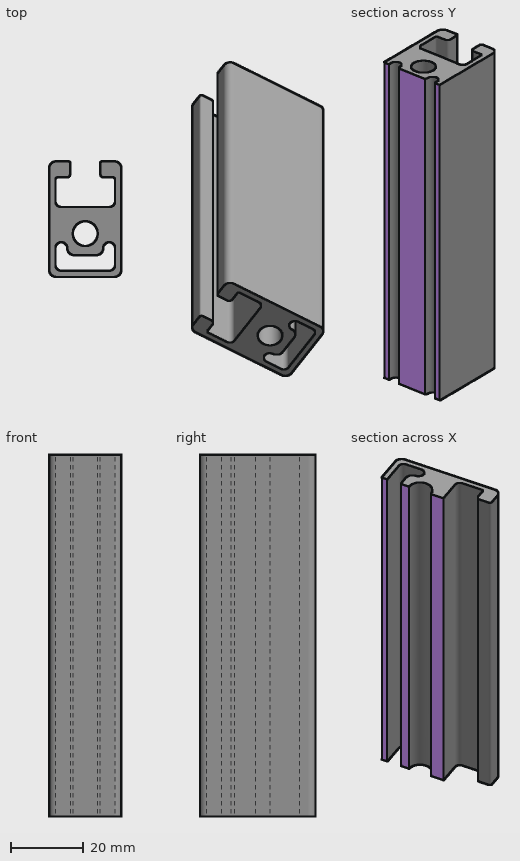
import cadquery as cq

width = 20.0
depth = 32.0
length = 100.0
corner_radius = 2.0
wall = 1.8
inner_width = width - 2 * wall
inner_radius = 1.5
front_y = -depth / 2
back_y = depth / 2

slot_opening = 8.2
lip_thickness = 4.5
slot_depth = 12.6
lip_outer_radius = 0.6
lip_inner_radius = 1.0
slot_inner_radius = 0.5

bore_diameter = 6.8
bore_y = front_y + 12.0

cavity_floor_y = front_y + wall
boss_half_width = 5.0
boss_face_y = front_y + 6.0
lobe_radius = (inner_width / 2 - boss_half_width) / 2
lobe_center_x = boss_half_width + lobe_radius
lobe_center_y = front_y + 8.0
boss_radius = lobe_center_y - boss_face_y


def make_body():
    body = cq.Workplane("XY").rect(width, depth).extrude(length)
    return body.edges("|Z").fillet(corner_radius)


def box_between(x_size, y_low, y_high):
    return (
        cq.Workplane("XY")
        .center(0, (y_low + y_high) / 2)
        .rect(x_size, y_high - y_low)
        .extrude(length)
    )


def cut_t_slot(body):
    lip_y = back_y - lip_thickness
    chamber = box_between(inner_width, back_y - slot_depth, lip_y)
    chamber = chamber.edges("|Z and <Y").fillet(inner_radius)
    chamber = chamber.edges("|Z and >Y").fillet(slot_inner_radius)
    body = body.cut(chamber).cut(box_between(slot_opening, lip_y, back_y))

    half_opening = slot_opening / 2
    for y, radius in ((lip_y, lip_inner_radius), (back_y, lip_outer_radius)):
        for x in (-half_opening, half_opening):
            lip_edge = cq.selectors.NearestToPointSelector((x, y, length / 2))
            body = body.edges(lip_edge).fillet(radius)
    return body


def make_cavity():
    half_width = inner_width / 2
    lobe_top_y = lobe_center_y + lobe_radius
    cavity = (
        cq.Workplane("XY")
        .moveTo(-half_width, cavity_floor_y)
        .lineTo(half_width, cavity_floor_y)
        .lineTo(half_width, lobe_center_y)
        .threePointArc((lobe_center_x, lobe_top_y), (boss_half_width, lobe_center_y))
        .radiusArc((boss_half_width - boss_radius, boss_face_y), boss_radius)
        .lineTo(-boss_half_width + boss_radius, boss_face_y)
        .radiusArc((-boss_half_width, lobe_center_y), boss_radius)
        .threePointArc((-lobe_center_x, lobe_top_y), (-half_width, lobe_center_y))
        .close()
        .extrude(length)
    )
    return cavity.edges("|Z and <Y").fillet(inner_radius)


def make_bore():
    return cq.Workplane("XY").center(0, bore_y).circle(bore_diameter / 2).extrude(length)


result = cut_t_slot(make_body()).cut(make_cavity()).cut(make_bore())